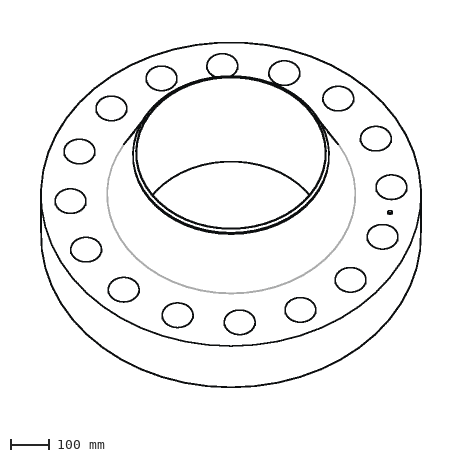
import cadquery as cq
import math

flange_diameter = 984.0
total_height = 362.0

face_diameter = 584.0
face_height = 7.0
flange_thickness = 178.0

bore_diameter = 489.0
neck_base_diameter = 642.0
neck_base_fillet = 2.0
weld_end_diameter = 508.0
weld_end_height = 12.0
bevel_width = 8.0
bevel_height = 6.0

bolt_count = 16
bolt_circle_diameter = 831.0
bolt_hole_diameter = 80.0

pin_hole_diameter = 12.0
pin_hole_depth = 10.0

flange_top = face_height + flange_thickness
bolt_pitch_angle = 360.0 / bolt_count


def flange_body():
    """Revolve the raised face, disc and neck around Z, then round the neck base."""
    bore_radius = bore_diameter / 2
    face_radius = face_diameter / 2
    flange_radius = flange_diameter / 2
    neck_base_radius = neck_base_diameter / 2
    weld_end_radius = weld_end_diameter / 2
    half_section = [
        (bore_radius, 0),
        (face_radius, 0),
        (face_radius, face_height),
        (flange_radius, face_height),
        (flange_radius, flange_top),
        (neck_base_radius, flange_top),
        (weld_end_radius, total_height - weld_end_height),
        (weld_end_radius, total_height - bevel_height),
        (weld_end_radius - bevel_width, total_height),
        (bore_radius, total_height),
    ]
    body = cq.Workplane("XZ").polyline(half_section).close().revolve(360, (0, 0, 0), (0, 1, 0))
    top_of_disc = body.faces("|Z").faces(cq.selectors.NearestToPointSelector((0, 0, flange_top)))
    neck_base_edge = top_of_disc.edges(cq.selectors.RadiusNthSelector(0))
    return body.newObject(neck_base_edge.vals()).fillet(neck_base_fillet)


def bolt_holes():
    """Ring of cylinders that cut the bolt holes through the disc."""
    return (
        cq.Workplane("XY")
        .polarArray(bolt_circle_diameter / 2, 0, 360, bolt_count)
        .circle(bolt_hole_diameter / 2)
        .extrude(flange_top)
    )


def pin_hole():
    """Cylinder that cuts the small blind hole, on the bolt circle."""
    angle = math.radians(bolt_pitch_angle / 2)
    radius = bolt_circle_diameter / 2
    return (
        cq.Workplane("XY", origin=(0, 0, flange_top))
        .center(radius * math.cos(angle), radius * math.sin(angle))
        .circle(pin_hole_diameter / 2)
        .extrude(-pin_hole_depth)
    )


result = flange_body().cut(bolt_holes()).cut(pin_hole())